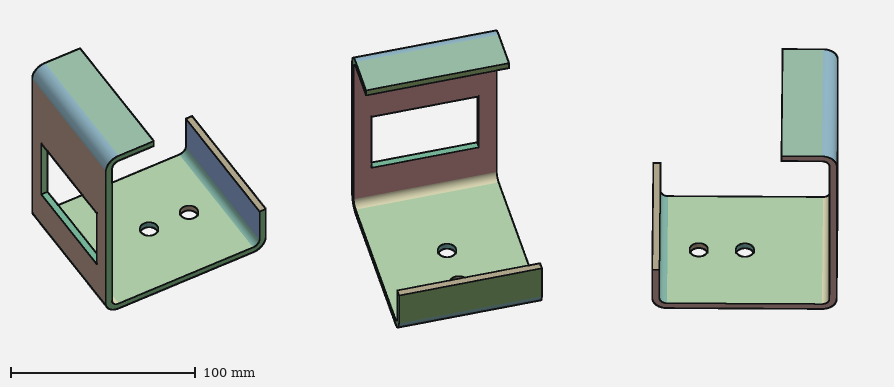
import cadquery as cq

width = 80.0
depth = 100.0
height = 120.0

thickness = 4.0
outer_bend_radius = 8.0
inner_bend_radius = outer_bend_radius - thickness
flange_length = 30.0

window_width = 60.0
window_height = 40.0
window_bottom = 30.0

hole_diameter = 10.0
hole_spacing = 25.0
rear_hole_y = depth - hole_spacing
hole_positions = [(0, rear_hole_y), (0, rear_hole_y - hole_spacing)]


def corner_edges(body, corners):
    """Select the edges along X that pass through the given (y, z) corners."""
    edges = body.edges("|X")
    return edges.filter(
        lambda edge: any(
            (edge.Center() - cq.Vector(0, y, z)).Length < thickness / 10 for y, z in corners
        )
    )


def bent_sheet():
    """Front wall, floor, top lip and rear lip with rounded bends."""
    inner_front = thickness
    inner_rear = depth - thickness
    inner_floor = thickness
    inner_top = height - thickness
    profile = [
        (flange_length, height),
        (0, height),
        (0, 0),
        (depth, 0),
        (depth, flange_length),
        (inner_rear, flange_length),
        (inner_rear, inner_floor),
        (inner_front, inner_floor),
        (inner_front, inner_top),
        (flange_length, inner_top),
    ]
    outer_corners = [(0, height), (0, 0), (depth, 0)]
    inner_corners = [
        (inner_front, inner_top),
        (inner_front, inner_floor),
        (inner_rear, inner_floor),
    ]
    sheet = cq.Workplane("YZ").polyline(profile).close().extrude(width / 2, both=True)
    sheet = corner_edges(sheet, outer_corners).fillet(outer_bend_radius)
    return corner_edges(sheet, inner_corners).fillet(inner_bend_radius)


def window_cutter():
    """Block that passes through the front wall only."""
    return (
        cq.Workplane("XY")
        .box(window_width, 2 * thickness, window_height, centered=(True, True, False))
        .translate((0, thickness / 2, window_bottom))
    )


def hole_cutters():
    """Cylinders that pass through the floor."""
    return cq.Workplane("XY").pushPoints(hole_positions).circle(hole_diameter / 2).extrude(thickness)


result = bent_sheet().cut(window_cutter()).cut(hole_cutters())